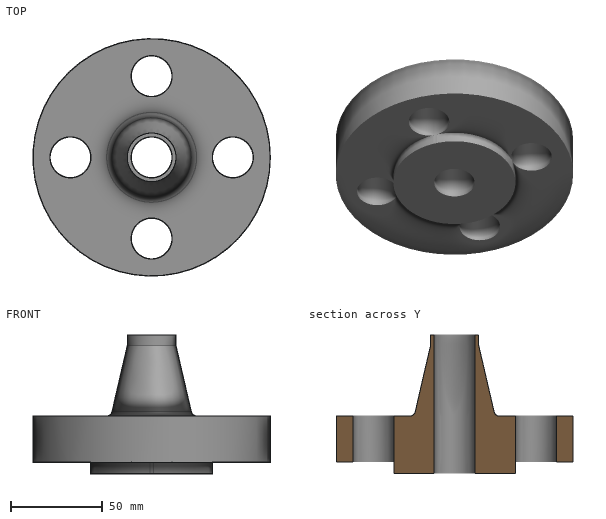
import cadquery as cq
import math

flange_diameter = 130.0
flange_thickness = 25.4

face_diameter = 66.8
face_height = 6.35

overall_height = 76.2
hub_base_diameter = 44.5
neck_diameter = 26.67
neck_length = 6.0
hub_fillet_radius = 3.0

bore_diameter = 22.225
bolt_hole_diameter = 22.225
bolt_circle_diameter = 88.9
bolt_count = 4

flange_bottom = face_height
flange_top = flange_bottom + flange_thickness
neck_bottom = overall_height - neck_length


def hub_fillet_points():
    """Start, middle and end (r, z) of the arc blending the disc top into the hub cone."""
    taper = math.atan2((hub_base_diameter - neck_diameter) / 2, neck_bottom - flange_top)
    corner_radius = hub_base_diameter / 2
    tangent_length = hub_fillet_radius * math.tan((math.pi / 2 - taper) / 2)
    center_r = corner_radius + tangent_length
    center_z = flange_top + hub_fillet_radius

    def arc_point(angle):
        return (
            center_r + hub_fillet_radius * math.cos(angle),
            center_z + hub_fillet_radius * math.sin(angle),
        )

    start_angle = -math.pi / 2
    end_angle = -math.pi + taper
    return [arc_point(a) for a in (start_angle, (start_angle + end_angle) / 2, end_angle)]


def make_body():
    """Solid of revolution: raised face, disc, blended hub cone and neck."""
    fillet_start, fillet_middle, fillet_end = hub_fillet_points()
    return (
        cq.Workplane("XZ")
        .moveTo(0, 0)
        .lineTo(face_diameter / 2, 0)
        .lineTo(face_diameter / 2, flange_bottom)
        .lineTo(flange_diameter / 2, flange_bottom)
        .lineTo(flange_diameter / 2, flange_top)
        .lineTo(*fillet_start)
        .threePointArc(fillet_middle, fillet_end)
        .lineTo(neck_diameter / 2, neck_bottom)
        .lineTo(neck_diameter / 2, overall_height)
        .lineTo(0, overall_height)
        .close()
        .revolve(360, (0, 0, 0), (0, 1, 0))
    )


def make_bore():
    """Through bore along the axis."""
    return cq.Workplane("XY").circle(bore_diameter / 2).extrude(overall_height)


def make_bolt_holes():
    """Bolt holes, the first on +X, running full depth so they just nick the raised face rim."""
    return (
        cq.Workplane("XY")
        .polarArray(bolt_circle_diameter / 2, 0, 360, bolt_count)
        .circle(bolt_hole_diameter / 2)
        .extrude(flange_top)
    )


result = make_body().cut(make_bore()).cut(make_bolt_holes())